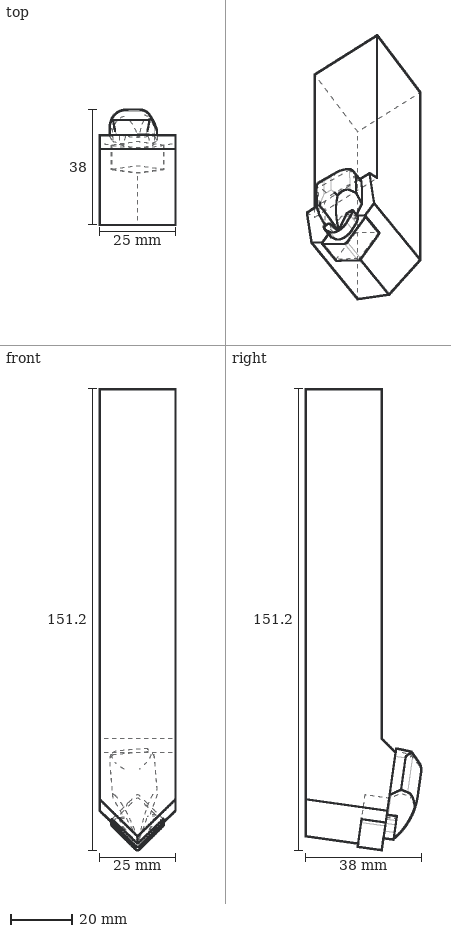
import cadquery as cq
import math

TOTAL_HEIGHT = 151.2
SHANK_SIDE = 25.0

HEAD_TILT = 8.0
BEVEL_START_HEIGHT = 36.6
POINT_SETBACK = 1.0
POINT_HALF_ANGLE = 46.0

INSERT_SIDE = 12.7
INSERT_CORNER_RADIUS = 0.8
INSERT_THICKNESS = 8.0

CLAMP_SWING = 4.8
CLAMP_WIDTH = 14.7
CLAMP_HEIGHT = 9.2
TAIL_END = 24.8
TAIL_HEIGHT = 5.0
TAIL_LEAN = 0.5
TAIL_CORNER_RADIUS = 2.9
TAIL_EDGE_RADIUS = 3.3
SIDE_HEIGHT = 3.5
SHOULDER_HEIGHT = 2.3
SHOULDER_ANGLE = 21.0
NOSE_ARC_START = 11.0
NOSE_ARC_RADIUS = 23.3
NOSE_END = -4.1
WEDGE_SHOULDER = 9.4
WEDGE_APEX = -6.8
WEDGE_DRAFT = 15.0
WEDGE_LAND = 0.5

FOOT_HEIGHT = 3.3
FOOT_TIP = -4.7
FOOT_STATIONS = [
    (5.7, 2.7),
    (5.5, 1.2),
    (5.0, -0.2),
    (3.3, -2.5),
]

tilt = math.radians(HEAD_TILT)
seat_normal = cq.Vector(0, math.cos(tilt), -math.sin(tilt))
seat_plane = cq.Plane(origin=(0, SHANK_SIDE, 0), xDir=(-1, 0, 0), normal=seat_normal)

corner_loss = INSERT_CORNER_RADIUS * (math.sqrt(2) - 1)
insert_centre = seat_plane.toWorldCoords((0, INSERT_SIDE / math.sqrt(2) - corner_loss, 0))
insert_plane = cq.Plane(origin=insert_centre, xDir=(-1, 0, 0), normal=seat_normal)


def make_insert():
    """Square plate with rounded corners, its face flush with the seat face."""
    return (
        cq.Workplane(insert_plane.rotated((0, 0, 45)))
        .rect(INSERT_SIDE, INSERT_SIDE)
        .extrude(-INSERT_THICKNESS)
        .edges(cq.selectors.ParallelDirSelector(seat_normal))
        .fillet(INSERT_CORNER_RADIUS)
    )


def make_shank():
    """Bar with the leaning head, pointed at the bottom by two flanks."""
    head_step = BEVEL_START_HEIGHT * math.tan(tilt) / (1 + math.tan(tilt))
    side_profile = [
        (0, TOTAL_HEIGHT),
        (SHANK_SIDE, TOTAL_HEIGHT),
        (SHANK_SIDE, BEVEL_START_HEIGHT),
        (SHANK_SIDE + head_step, BEVEL_START_HEIGHT - head_step),
        (SHANK_SIDE, 0),
        (0, 0),
    ]
    bar = cq.Workplane("YZ").polyline(side_profile).close().extrude(SHANK_SIDE / 2, both=True)
    reach = 2 * TOTAL_HEIGHT
    half_reach = reach * math.tan(math.radians(POINT_HALF_ANGLE))
    point_outline = [
        (0, POINT_SETBACK),
        (half_reach, POINT_SETBACK + reach),
        (-half_reach, POINT_SETBACK + reach),
    ]
    point = cq.Workplane(seat_plane).polyline(point_outline).close().extrude(reach, both=True)
    return bar.intersect(point)




def clamp_blank():
    """Plan of the finger with its two tail corners rounded."""
    length = TAIL_END - NOSE_END
    return (
        cq.Workplane("XY")
        .center(0, TAIL_END - length / 2)
        .rect(CLAMP_WIDTH, length)
        .extrude(CLAMP_HEIGHT)
        .edges("|Z and >Y")
        .fillet(TAIL_CORNER_RADIUS)
    )


def clamp_side_form():
    """Side outline: leaning tail face, chamfered tail edge and a back curving down to the nose."""
    chamfer_top = TAIL_END - TAIL_LEAN - (CLAMP_HEIGHT - TAIL_HEIGHT)
    sweep = math.asin((NOSE_ARC_START - NOSE_END) / NOSE_ARC_RADIUS)

    def nose_point(angle):
        drop = NOSE_ARC_RADIUS * (1 - math.cos(angle))
        return NOSE_ARC_START - NOSE_ARC_RADIUS * math.sin(angle), CLAMP_HEIGHT - drop

    return (
        cq.Workplane("YZ")
        .moveTo(NOSE_END, 0)
        .lineTo(TAIL_END, 0)
        .lineTo(TAIL_END - TAIL_LEAN, TAIL_HEIGHT)
        .lineTo(chamfer_top, CLAMP_HEIGHT)
        .lineTo(NOSE_ARC_START, CLAMP_HEIGHT)
        .threePointArc(nose_point(sweep / 2), nose_point(sweep))
        .close()
        .extrude(CLAMP_WIDTH, both=True)
        .edges(cq.selectors.NearestToPointSelector((0, chamfer_top, CLAMP_HEIGHT)))
        .fillet(TAIL_EDGE_RADIUS)
    )


def clamp_section_form():
    """Cross-section: upright sides, sloping shoulders and rounded edges to the flat back."""
    slope = math.radians(SHOULDER_ANGLE)
    half_width = CLAMP_WIDTH / 2
    shoulder_top = SIDE_HEIGHT + SHOULDER_HEIGHT
    shoulder_x = half_width - SHOULDER_HEIGHT * math.tan(slope)
    radius = (CLAMP_HEIGHT - shoulder_top) / (1 - math.sin(slope))
    flat_x = shoulder_x - radius * math.cos(slope)
    middle = (slope + math.pi / 2) / 2
    arc_x = flat_x + radius * math.cos(middle)
    arc_z = CLAMP_HEIGHT - radius * (1 - math.sin(middle))
    return (
        cq.Workplane("XZ")
        .moveTo(-half_width, 0)
        .lineTo(half_width, 0)
        .lineTo(half_width, SIDE_HEIGHT)
        .lineTo(shoulder_x, shoulder_top)
        .threePointArc((arc_x, arc_z), (flat_x, CLAMP_HEIGHT))
        .lineTo(-flat_x, CLAMP_HEIGHT)
        .threePointArc((-arc_x, arc_z), (-shoulder_x, shoulder_top))
        .lineTo(-half_width, SIDE_HEIGHT)
        .close()
        .extrude(2 * TAIL_END, both=True)
    )


def clamp_nose_wedge():
    """Wide wedge whose leaning flanks narrow the nose from both sides."""
    far = 2 * TAIL_END
    far_half_width = CLAMP_WIDTH / 2 * (far - WEDGE_APEX) / (WEDGE_SHOULDER - WEDGE_APEX)
    outline = [(0, WEDGE_APEX), (far_half_width, far), (-far_half_width, far)]
    land = cq.Workplane("XY").polyline(outline).close().extrude(WEDGE_LAND)
    flanks = cq.Workplane("XY", origin=(0, 0, WEDGE_LAND)).polyline(outline).close()
    return land.union(flanks.extrude(CLAMP_HEIGHT, taper=WEDGE_DRAFT))


def clamp_foot():
    """Low pad under the nose, stepped in towards a rounded tip."""
    chin_half_width, chin = FOOT_STATIONS[-1]
    left_side = [(-half_width, along) for half_width, along in FOOT_STATIONS]
    return (
        cq.Workplane("XY")
        .polyline(left_side)
        .threePointArc((0, FOOT_TIP), (chin_half_width, chin))
        .polyline(FOOT_STATIONS[::-1], includeCurrent=False)
        .close()
        .extrude(FOOT_HEIGHT)
    )


def make_clamp():
    """Finger with its foot, placed on the seat face over the insert."""
    finger = clamp_blank()
    for form in (clamp_side_form(), clamp_section_form(), clamp_nose_wedge()):
        finger = finger.intersect(form)
    clamp = finger.union(clamp_foot())
    clamp_plane = insert_plane.rotated((0, 0, -CLAMP_SWING))
    return cq.Workplane(clamp.solids().val().moved(cq.Location(clamp_plane)))


insert = make_insert()

holder = make_shank().union(make_clamp()).cut(insert)

result = cq.Compound.makeCompound([holder.solids().val(), insert.solids().val()])